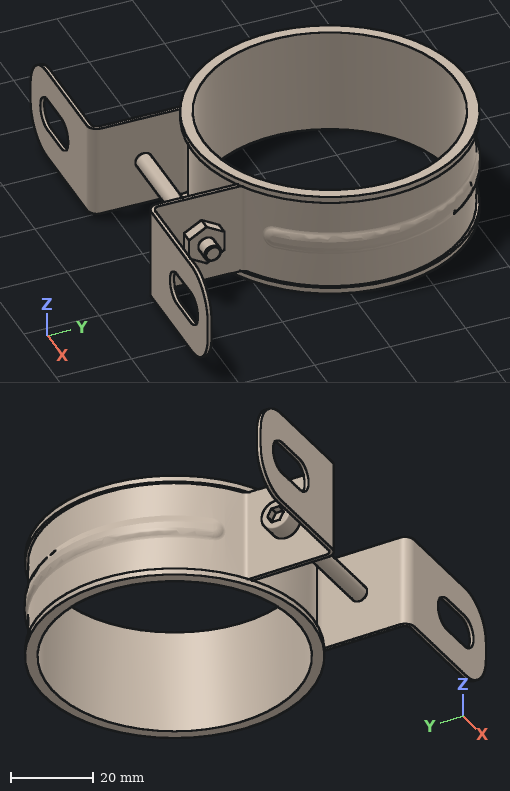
import cadquery as cq
import math


sheet = 1.1
clamp_width = 25.3
band_outer_r = 35.8
band_inner_r = band_outer_r - sheet
bend_inner_r = 1.5
bend_outer_r = bend_inner_r + sheet
wall_inner_x = 17.4
wall_outer_x = wall_inner_x + sheet
foot_end_x = 55.0
foot_bottom_y = -55.9
foot_top_y = foot_bottom_y + sheet
foot_corner_r = 10.0
slot_center_x = 40.3
slot_length = 17.3
slot_width = 8.8

bead_crest_r = 36.6
bead_crest_half_width = 0.9
bead_flank_r = 2.5
bead_foot_fillet = 1.0
bead_sweep = 270.0
bead_root_r = band_outer_r - sheet / 2

liner_width = 28.8
liner_inner_r = 33.4
liner_lip_r = 36.5

bolt_y = -41.9
shank_d = 4.4
shank_end_x = 25.7
shank_chamfer = 0.3
head_d = 8.1
head_height = 5.1
head_fillet = 0.3
socket_flats = 4.0
socket_depth = 2.2
nut_flats = 9.4
nut_thickness = 3.2


def polar(center, radius, degrees):
    """Point at the given angle on a circle."""
    angle = math.radians(degrees)
    return (center[0] + radius * math.cos(angle), center[1] + radius * math.sin(angle))


def hexagon_d(flats):
    """Corner-to-corner size of a hexagon from its size across flats."""
    return flats / math.cos(math.pi / 6)


def along_x(start_x):
    """Workplane facing +X on the bolt axis; its local x runs along Y."""
    return cq.Workplane("YZ", origin=(start_x, bolt_y, 0))


def mirrored(point):
    """Same point on the opposite side of the YZ plane."""
    return (-point[0], point[1])


def bent_strip():
    """Open ring, two straight walls and two outward feet, bent from one strip of constant thickness."""
    bend_x = wall_outer_x + bend_inner_r
    upper = (bend_x, -math.sqrt((band_outer_r + bend_inner_r) ** 2 - bend_x ** 2))
    lower = (bend_x, foot_top_y + bend_inner_r)
    ring_angle = math.degrees(math.atan2(upper[1], upper[0]))
    upper_mid_angle = 180 + ring_angle / 2

    outer_ring_end = polar((0, 0), band_outer_r, ring_angle)
    outer_upper_mid = polar(upper, bend_inner_r, upper_mid_angle)
    outer_wall_top = (wall_outer_x, upper[1])
    outer_wall_bottom = (wall_outer_x, lower[1])
    outer_lower_mid = polar(lower, bend_inner_r, 225)
    foot_top_start = (bend_x, foot_top_y)
    foot_top_end = (foot_end_x, foot_top_y)

    foot_bottom_end = (foot_end_x, foot_bottom_y)
    foot_bottom_start = (bend_x, foot_bottom_y)
    inner_lower_mid = polar(lower, bend_outer_r, 225)
    inner_wall_bottom = (wall_inner_x, lower[1])
    inner_wall_top = (wall_inner_x, upper[1])
    inner_upper_mid = polar(upper, bend_outer_r, upper_mid_angle)
    inner_ring_end = polar((0, 0), band_inner_r, ring_angle)

    return (
        cq.Workplane("XY", origin=(0, 0, -clamp_width / 2))
        .moveTo(*mirrored(foot_top_end))
        .lineTo(*mirrored(foot_top_start))
        .threePointArc(mirrored(outer_lower_mid), mirrored(outer_wall_bottom))
        .lineTo(*mirrored(outer_wall_top))
        .threePointArc(mirrored(outer_upper_mid), mirrored(outer_ring_end))
        .threePointArc((0, band_outer_r), outer_ring_end)
        .threePointArc(outer_upper_mid, outer_wall_top)
        .lineTo(*outer_wall_bottom)
        .threePointArc(outer_lower_mid, foot_top_start)
        .lineTo(*foot_top_end)
        .lineTo(*foot_bottom_end)
        .lineTo(*foot_bottom_start)
        .threePointArc(inner_lower_mid, inner_wall_bottom)
        .lineTo(*inner_wall_top)
        .threePointArc(inner_upper_mid, inner_ring_end)
        .threePointArc((0, band_inner_r), mirrored(inner_ring_end))
        .threePointArc(mirrored(inner_upper_mid), mirrored(inner_wall_top))
        .lineTo(*mirrored(inner_wall_bottom))
        .threePointArc(mirrored(inner_lower_mid), mirrored(foot_bottom_start))
        .lineTo(*mirrored(foot_bottom_end))
        .close()
        .extrude(clamp_width)
        .edges("|Y and (>X or <X)")
        .fillet(foot_corner_r)
    )


def bead_flank_half_width(radius):
    """Half width of the bead where its flank arc reaches the given distance from the ring axis."""
    drop = bead_crest_r - radius
    return bead_crest_half_width + math.sqrt(bead_flank_r ** 2 - (bead_flank_r - drop) ** 2)


def bead():
    """Raised bead swept around the ring, open toward the feet, with rounded ends."""
    root = bead_flank_half_width(bead_root_r)
    middle_r = (bead_crest_r + bead_root_r) / 2
    middle = bead_flank_half_width(middle_r)

    sweep = (
        cq.Workplane("XZ")
        .moveTo(bead_root_r, -root)
        .threePointArc((middle_r, -middle), (bead_crest_r, -bead_crest_half_width))
        .lineTo(bead_crest_r, bead_crest_half_width)
        .threePointArc((middle_r, middle), (bead_root_r, root))
        .close()
        .revolve(bead_sweep, (0, 0, 0), (0, 1, 0))
    )
    end = (
        cq.Workplane("XZ")
        .moveTo(bead_root_r, 0)
        .lineTo(bead_root_r, root)
        .threePointArc((middle_r, middle), (bead_crest_r, bead_crest_half_width))
        .lineTo(bead_crest_r, 0)
        .close()
        .revolve(180, (0, 0, 0), (1, 0, 0))
    )
    start_angle = 90 - bead_sweep / 2
    right_end = end.rotate((0, 0, 0), (0, 0, 1), start_angle)
    swept = sweep.rotate((0, 0, 0), (0, 0, 1), start_angle)
    return swept.union(right_end).union(right_end.mirror("YZ"))


def make_clamp():
    """Bent strip with its bead, mounting slots and bolt holes."""
    foot_slots = (
        cq.Workplane("XZ", origin=(0, foot_top_y, 0))
        .pushPoints([(-slot_center_x, 0), (slot_center_x, 0)])
        .slot2D(slot_length, slot_width)
        .extrude(sheet)
    )
    bolt_holes = along_x(-wall_outer_x).circle(shank_d / 2).extrude(2 * wall_outer_x)
    beaded = bent_strip().union(bead())
    bead_outline = [wire for face in beaded.faces("%CYLINDER").vals() for wire in face.innerWires()]
    outline_edges = [edge for wire in bead_outline for edge in wire.Edges()]
    filleted = beaded.newObject(outline_edges).fillet(bead_foot_fillet)
    return filleted.cut(foot_slots).cut(bolt_holes)


def make_liner():
    """Rubber ring whose two lips hold the band between them."""
    section = [
        (-liner_inner_r, -liner_width / 2),
        (-liner_lip_r, -liner_width / 2),
        (-liner_lip_r, -clamp_width / 2),
        (-band_inner_r, -clamp_width / 2),
        (-band_inner_r, clamp_width / 2),
        (-liner_lip_r, clamp_width / 2),
        (-liner_lip_r, liner_width / 2),
        (-liner_inner_r, liner_width / 2),
    ]
    return cq.Workplane("YZ").polyline(section).close().revolve(360, (0, 0, 0), (0, 1, 0))


def make_bolt():
    """Socket-head bolt running through both walls, head on the -X side."""
    shank = (
        along_x(-wall_outer_x)
        .circle(shank_d / 2)
        .extrude(wall_outer_x + shank_end_x)
        .faces(">X")
        .chamfer(shank_chamfer)
    )
    head_end_x = -wall_outer_x - head_height
    head = along_x(head_end_x).circle(head_d / 2).extrude(head_height).faces("<X").edges().fillet(head_fillet)
    socket = along_x(head_end_x).polygon(6, hexagon_d(socket_flats)).extrude(socket_depth)
    return shank.union(head).cut(socket)


def make_nut():
    """Hexagon nut seated on the outside of the +X wall, two corners pointing along Z."""
    return (
        along_x(wall_outer_x)
        .transformed(rotate=(0, 0, 90))
        .polygon(6, hexagon_d(nut_flats))
        .circle(shank_d / 2)
        .extrude(nut_thickness)
    )


clamp = make_clamp()
liner = make_liner()
bolt = make_bolt()
nut = make_nut()

result = cq.Compound.makeCompound([clamp.val(), liner.val(), bolt.val(), nut.val()])